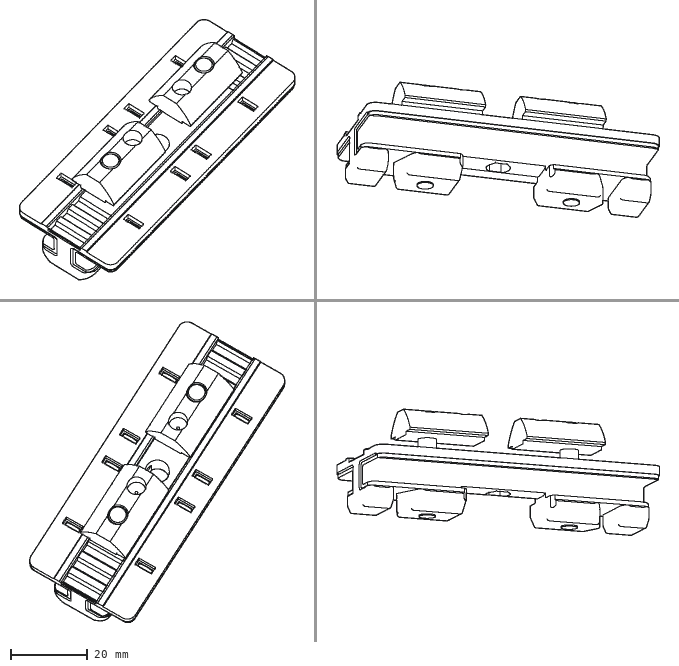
import cadquery as cq
import math

TOTAL_HEIGHT = 27.8
FOOT_BOTTOM = 0.3
FOOT_TOP = 5.1
FLANGE_BOTTOM = 5.5
FLANGE_TOP = 6.6
BRIDGE_BOTTOM = 7.5
PLATE_BOTTOM = 11.4
PLATE_STEP = 12.6
CHANNEL_FLOOR = 14.3
PLATE_TOP = 15.0
RAIL_TOP = 15.4

LENGTH = 80.0
WIDTH = 32.0
CORNER_RADIUS = 2.5
EDGE_STEP = 0.2
RAIL_OUTER_WIDTH = 15.2
RAIL_CHAMFER = 0.2
RAIL_LEDGE_WIDTH = 11.8
RAIL_LEDGE_DEPTH = 0.1
CHANNEL_WIDTH = 10.7
CHANNEL_END_CHAMFER = 0.2

GROOVES_PER_END = 3
GROOVE_PITCH = 5.0
FIRST_GROOVE_Y = 27.8
GROOVE_FLOOR_WIDTH = 1.9
GROOVE_MOUTH_WIDTH = 3.2
GROOVE_DEPTH = 1.2

SLOT_X = 11.1
SLOT_INNER_Y = 4.5
SLOT_OUTER_Y = 24.5
SLOT_LENGTH = 5.1
SLOT_WIDTH = 2.0
SLOT_LEDGE = 0.5
SLOT_LEDGE_DEPTH = 1.6
SLOT_DEPTH = 2.6
SLOT_CROWN = 0.6

WEB_WIDTH = 7.5
FLARE_LENGTH = 1.5
FLARE_RISE = 0.3
REBATE_DEPTH = 0.4
REBATE_WIDTH = 1.5
REBATE_ANGLE = 45.0
WEB_FILLET = 0.5
BRIDGE_BEVEL_WIDTH = 1.5
BRIDGE_BEVEL_HEIGHT = 0.5
CENTER_HOLE_DIAMETER = 6.3
CENTER_HOLE_FLATS = 5.4

FOOT_WIDTH = 17.0
FOOT_BOTTOM_WIDTH = 9.9
FOOT_CORNER_RADIUS = 2.6
FOOT_BOTTOM_FILLET = 0.8
END_FOOT_LENGTH = 8.1
INNER_FOOT_START = 11.8
INNER_FOOT_SHOULDER = 25.0
INNER_FOOT_TIP = 28.6
INNER_FOOT_CHAMFER = 1.1

SCREW_Y = 20.0
SCREW_DIAMETER = 5.0
SCREW_TIP_DIAMETER = 4.3
SCREW_CLEARANCE_DIAMETER = 6.3
SCREW_END_CHAMFER = 0.3
NUT_BORE_MOUTH_DIAMETER = 5.5
NUT_START = 5.4
NUT_LENGTH = 22.1
NUT_HEIGHT = 7.2
NUT_TOP_WIDTH = 4.3
NUT_WIDTH = 13.8
NUT_LIP_WIDTH = 13.5
NUT_LIP_HEIGHT = 1.0
NUT_LIP_CHAMFER = 0.6
NUT_SIDE_BULGE = 0.4
NUT_KEY_WIDTH = 8.2
NUT_KEY_HEIGHT = 0.9
NUT_KEY_FILLET = 0.3
NUT_HOLE_Y = 10.6
NUT_HOLE_DEPTH = 4.0
DRILL_TIP_DIAMETER = 0.7
DRILL_POINT_ANGLE = 118.0

MARGIN = 0.1


def box(width, length, bottom, top, x=0.0, y=0.0):
    """Block centred on (x, y) between two heights."""
    return cq.Workplane("XY", origin=(x, y, bottom)).box(
        width, length, top - bottom, centered=(True, True, False)
    )


def cylinder(diameter, bottom, top, y=0.0):
    """Upright cylinder on the middle plane of the part."""
    return cq.Workplane("XY", origin=(0, y, bottom)).circle(diameter / 2).extrude(top - bottom)


def cone(bottom_diameter, top_diameter, bottom, top, y=0.0):
    """Upright cone, pointed or cut off, on the middle plane of the part."""
    solid = cq.Solid.makeCone(bottom_diameter / 2, top_diameter / 2, top - bottom, cq.Vector(0, y, bottom))
    return cq.Workplane(obj=solid)


def both_ends(half):
    """The +Y half joined with its mirror image."""
    return half.union(half.mirror("XZ"))


def make_plate():
    upper = box(WIDTH, LENGTH, PLATE_STEP, PLATE_TOP).edges("|Z").fillet(CORNER_RADIUS)
    lower = box(WIDTH - 2 * EDGE_STEP, LENGTH - 2 * EDGE_STEP, PLATE_BOTTOM, PLATE_STEP)
    lower = lower.edges("|Z").fillet(CORNER_RADIUS - EDGE_STEP)
    lower = lower.faces("<Z").chamfer(EDGE_STEP)
    rails = box(RAIL_OUTER_WIDTH, LENGTH, PLATE_STEP, RAIL_TOP)
    rails = rails.edges("|Y and >Z").chamfer(RAIL_CHAMFER)
    ledge = box(RAIL_LEDGE_WIDTH, LENGTH, RAIL_TOP - RAIL_LEDGE_DEPTH, RAIL_TOP)
    channel = box(CHANNEL_WIDTH, LENGTH, CHANNEL_FLOOR, RAIL_TOP)
    return upper.union(lower).union(rails).cut(ledge).cut(channel)


def make_channel_cuts():
    floor_half = GROOVE_FLOOR_WIDTH / 2
    mouth_half = GROOVE_MOUTH_WIDTH / 2
    end = LENGTH / 2
    across = cq.Workplane("YZ", origin=(-CHANNEL_WIDTH / 2, 0, 0))
    cuts = (
        across.moveTo(end, CHANNEL_FLOOR)
        .lineTo(end - CHANNEL_END_CHAMFER, CHANNEL_FLOOR)
        .lineTo(end, CHANNEL_FLOOR - CHANNEL_END_CHAMFER)
        .close()
        .extrude(CHANNEL_WIDTH)
    )
    for index in range(GROOVES_PER_END):
        y = FIRST_GROOVE_Y + index * GROOVE_PITCH
        groove = (
            across.moveTo(y - mouth_half, CHANNEL_FLOOR)
            .lineTo(y - floor_half, CHANNEL_FLOOR - GROOVE_DEPTH)
            .lineTo(y + floor_half, CHANNEL_FLOOR - GROOVE_DEPTH)
            .lineTo(y + mouth_half, CHANNEL_FLOOR)
            .close()
            .extrude(CHANNEL_WIDTH)
        )
        cuts = cuts.union(groove)
    return both_ends(cuts)


def make_slot(x, y):
    """Stepped slot whose narrower lower part has a floor crowned along X."""
    ledge = PLATE_TOP - SLOT_LEDGE_DEPTH
    floor = PLATE_TOP - SLOT_DEPTH
    lower_half = SLOT_LENGTH / 2 - SLOT_LEDGE
    lower_width = SLOT_WIDTH - 2 * SLOT_LEDGE
    mouth = box(SLOT_LENGTH, SLOT_WIDTH, ledge, PLATE_TOP, x, y)
    lower = (
        cq.Workplane("XZ", origin=(x, y + lower_width / 2, 0))
        .moveTo(-lower_half, ledge)
        .lineTo(-lower_half, floor)
        .threePointArc((0, floor + SLOT_CROWN), (lower_half, floor))
        .lineTo(lower_half, ledge)
        .close()
        .extrude(lower_width)
    )
    return mouth.union(lower)


def make_spine():
    """Block under the plate from which the web and the flange are left standing."""
    spine = box(FOOT_WIDTH - 2 * EDGE_STEP, LENGTH, FLANGE_BOTTOM, CHANNEL_FLOOR)
    return spine.edges("|Z").fillet(FOOT_CORNER_RADIUS)


def make_side_channels():
    """Channels on both sides of the web, flared and rebated at both ends."""
    height = PLATE_BOTTOM - FLANGE_TOP
    flare_start = LENGTH / 2 - FLARE_LENGTH
    rebate_start = LENGTH / 2 - REBATE_DEPTH
    rebate_growth = REBATE_WIDTH - REBATE_DEPTH
    flare_angle = math.degrees(math.atan2(FLARE_RISE, FLARE_LENGTH))
    plane = cq.Plane(
        origin=((WEB_WIDTH + WIDTH) / 2, 0, (PLATE_BOTTOM + FLANGE_TOP) / 2),
        xDir=(-1, 0, 0),
        normal=(0, 1, 0),
    )

    def mouth(growth):
        outline = cq.Sketch().rect(WIDTH + 2 * growth, height + 2 * growth)
        return outline.vertices().fillet(WEB_FILLET)

    middle = cq.Workplane(plane)
    straight = middle.placeSketch(mouth(0)).extrude(flare_start)
    flare = middle.workplane(offset=flare_start).placeSketch(mouth(0))
    flare = flare.extrude(FLARE_LENGTH, taper=-flare_angle)
    rebate = middle.workplane(offset=rebate_start).placeSketch(mouth(rebate_growth))
    rebate = rebate.extrude(REBATE_DEPTH, taper=-REBATE_ANGLE)
    side = both_ends(straight.union(flare).union(rebate))
    return side.union(side.mirror("YZ"))


def make_bridge_cut():
    """Opening between the inner feet, with a bevelled web above and bevelled ends."""
    half = WEB_WIDTH / 2
    core_half = half - BRIDGE_BEVEL_WIDTH
    outer = FOOT_WIDTH / 2
    bevel_top = BRIDGE_BOTTOM + BRIDGE_BEVEL_HEIGHT
    opening = (
        cq.Workplane("XZ", origin=(0, INNER_FOOT_START, 0))
        .moveTo(-outer, FOOT_BOTTOM)
        .lineTo(-outer, bevel_top)
        .lineTo(-half, bevel_top)
        .lineTo(-core_half, BRIDGE_BOTTOM)
        .lineTo(core_half, BRIDGE_BOTTOM)
        .lineTo(half, bevel_top)
        .lineTo(outer, bevel_top)
        .lineTo(outer, FOOT_BOTTOM)
        .close()
        .extrude(2 * INNER_FOOT_START)
    )
    bevel = (
        cq.Workplane("XY", origin=(0, 0, FOOT_BOTTOM))
        .moveTo(outer, INNER_FOOT_START)
        .lineTo(outer, INNER_FOOT_START + INNER_FOOT_CHAMFER)
        .lineTo(outer - INNER_FOOT_CHAMFER, INNER_FOOT_START)
        .close()
        .extrude(FLANGE_TOP - FOOT_BOTTOM)
    )
    bevels = both_ends(bevel)
    return opening.union(bevels).union(bevels.mirror("YZ"))


def round_foot_bottom(foot):
    """Round the bottom and sloping edges around the ends of a foot."""
    knee = FOOT_BOTTOM + (FOOT_WIDTH - FOOT_BOTTOM_WIDTH) / 2
    below_knee = cq.selectors.BoxSelector((-WIDTH, -LENGTH, 0), (WIDTH, LENGTH, knee - MARGIN))
    return foot.edges("not (|Y or |Z)").edges(below_knee).fillet(FOOT_BOTTOM_FILLET)


def make_feet():
    half = FOOT_WIDTH / 2
    bottom_half = FOOT_BOTTOM_WIDTH / 2
    section = (
        cq.Workplane("XZ", origin=(0, LENGTH / 2, 0))
        .moveTo(-bottom_half, FOOT_BOTTOM)
        .lineTo(bottom_half, FOOT_BOTTOM)
        .lineTo(half, FOOT_BOTTOM + half - bottom_half)
        .lineTo(half, FOOT_TOP)
        .lineTo(half - EDGE_STEP, FLANGE_BOTTOM)
        .lineTo(EDGE_STEP - half, FLANGE_BOTTOM)
        .lineTo(-half, FOOT_TOP)
        .lineTo(-half, FOOT_BOTTOM + half - bottom_half)
        .close()
        .extrude(LENGTH)
    )
    end_y = (LENGTH - END_FOOT_LENGTH) / 2
    end_plan = box(FOOT_WIDTH, END_FOOT_LENGTH, FOOT_BOTTOM, FLANGE_BOTTOM, y=end_y)
    end_foot = section.intersect(end_plan.edges("|Z").fillet(FOOT_CORNER_RADIUS))
    end_foot = round_foot_bottom(end_foot)

    pointed_plan = (
        cq.Workplane("XY", origin=(0, 0, FOOT_BOTTOM))
        .moveTo(-half, INNER_FOOT_START)
        .lineTo(half, INNER_FOOT_START)
        .lineTo(half, INNER_FOOT_SHOULDER)
        .lineTo(0, INNER_FOOT_TIP)
        .lineTo(-half, INNER_FOOT_SHOULDER)
        .close()
        .extrude(FLANGE_BOTTOM - FOOT_BOTTOM)
    )
    shoulders = cq.selectors.BoxSelector(
        (-WIDTH, INNER_FOOT_SHOULDER - MARGIN, 0), (WIDTH, INNER_FOOT_SHOULDER + MARGIN, PLATE_BOTTOM)
    )
    pointed_plan = pointed_plan.edges("|Z").edges(shoulders).fillet(FOOT_CORNER_RADIUS)
    inner_foot = round_foot_bottom(section.intersect(pointed_plan))
    return both_ends(end_foot.union(inner_foot))


def make_center_hole():
    """Round mouth that continues downward with two flat sides."""
    round_hole = cylinder(CENTER_HOLE_DIAMETER, FOOT_BOTTOM, RAIL_TOP)
    flat_sided = box(CENTER_HOLE_FLATS, CENTER_HOLE_DIAMETER, FOOT_BOTTOM, PLATE_BOTTOM)
    mouth = box(CENTER_HOLE_DIAMETER, CENTER_HOLE_DIAMETER, PLATE_BOTTOM, RAIL_TOP)
    return round_hole.intersect(flat_sided.union(mouth))


def make_screw():
    tip = cylinder(SCREW_TIP_DIAMETER, 0, FLANGE_TOP, SCREW_Y)
    chamfer_start = TOTAL_HEIGHT - SCREW_END_CHAMFER
    end_diameter = SCREW_DIAMETER - 2 * SCREW_END_CHAMFER
    shank = cylinder(SCREW_DIAMETER, FLANGE_BOTTOM, chamfer_start, SCREW_Y)
    end = cone(SCREW_DIAMETER, end_diameter, chamfer_start, TOTAL_HEIGHT, SCREW_Y)
    return tip.union(shank).union(end)


def make_nut():
    top = TOTAL_HEIGHT
    key_bottom = top - NUT_HEIGHT
    lip_bottom = key_bottom + NUT_KEY_HEIGHT
    lip_top = lip_bottom + NUT_LIP_HEIGHT
    top_half = NUT_TOP_WIDTH / 2
    half = NUT_WIDTH / 2
    lip_half = NUT_LIP_WIDTH / 2
    chord_x = lip_half - top_half
    chord_z = top - lip_top
    chord = math.hypot(chord_x, chord_z)
    bulge_x = (lip_half + top_half) / 2 + NUT_SIDE_BULGE * chord_z / chord
    bulge_z = (lip_top + top) / 2 + NUT_SIDE_BULGE * chord_x / chord
    nut = (
        cq.Workplane("XZ", origin=(0, NUT_START + NUT_LENGTH, 0))
        .moveTo(top_half, top)
        .threePointArc((bulge_x, bulge_z), (lip_half, lip_top))
        .lineTo(half, lip_bottom + NUT_LIP_CHAMFER)
        .lineTo(lip_half, lip_bottom)
        .lineTo(-lip_half, lip_bottom)
        .lineTo(-half, lip_bottom + NUT_LIP_CHAMFER)
        .lineTo(-lip_half, lip_top)
        .threePointArc((-bulge_x, bulge_z), (-top_half, top))
        .close()
        .extrude(NUT_LENGTH)
    )
    key = box(NUT_KEY_WIDTH, NUT_LENGTH, key_bottom, lip_bottom, y=NUT_START + NUT_LENGTH / 2)
    key = key.edges("|Y and <Z").fillet(NUT_KEY_FILLET)
    hole_bottom = top - NUT_HOLE_DEPTH
    point_depth = (SCREW_DIAMETER - DRILL_TIP_DIAMETER) / 2 / math.tan(math.radians(DRILL_POINT_ANGLE / 2))
    hole = cylinder(SCREW_DIAMETER, hole_bottom, top, NUT_HOLE_Y)
    point = cone(DRILL_TIP_DIAMETER, SCREW_DIAMETER, hole_bottom - point_depth, hole_bottom, NUT_HOLE_Y)
    bore_mouth = cone(SCREW_DIAMETER, NUT_BORE_MOUTH_DIAMETER, top - SCREW_END_CHAMFER, top, SCREW_Y)
    return nut.union(key).cut(hole).cut(point).cut(bore_mouth)


base = make_plate().union(make_spine()).union(make_feet())
base = base.cut(make_bridge_cut()).cut(make_side_channels())
base = base.cut(make_channel_cuts()).cut(make_center_hole())
for slot_x in (-SLOT_X, SLOT_X):
    for slot_y in (-SLOT_OUTER_Y, -SLOT_INNER_Y, SLOT_INNER_Y, SLOT_OUTER_Y):
        base = base.cut(make_slot(slot_x, slot_y))
base = base.cut(both_ends(cylinder(SCREW_CLEARANCE_DIAMETER, FLANGE_TOP, RAIL_TOP, SCREW_Y)))

clamps = both_ends(make_nut().union(make_screw()))
result = base.union(clamps)